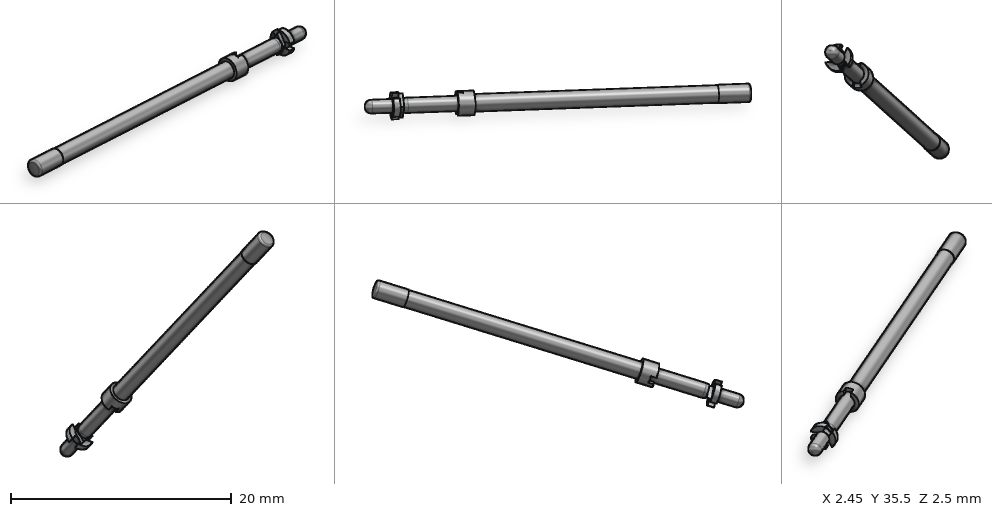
import cadquery as cq
import math

length = 35.5

flange_start = 2.5
flange_end = 3.1
driver_end = 3.5
neck_end = 3.87
collar_start = 8.5
collar_end = 10.0
collar_slot_end = 9.0
body_end = 32.5

tip_radius = 0.65
flange_radius = 1.25
neck_radius = 0.67
barrel_radius = 0.7
collar_radius = 1.15
body_radius = 0.8
tail_radius = 0.85

tip_flat_radius = 0.05
tip_round = tip_radius - tip_flat_radius
tail_round = 0.2

slot_width = 0.7
flange_slot_angles = (0, 120, 240)

driver_face_tilt = 30
driver_half_height = collar_radius
driver_half_width = driver_half_height * math.tan(math.radians(driver_face_tilt))


def section(start, end, radius, end_radius=None):
    """Round section between two distances from the tip, tapered if end_radius is given."""
    if end_radius is None:
        end_radius = radius
    y_start = length - start
    y_end = length - end
    return (
        cq.Workplane("XY")
        .polyline([(0, y_start), (radius, y_start), (end_radius, y_end), (0, y_end)])
        .close()
        .revolve(360, (0, 0), (0, 1))
    )


def across_axis(distance):
    """Workplane across the axis: local x is X, local y is Z, extruding toward the tail."""
    return cq.Workplane("XZ", origin=(0, length - distance, 0))


def make_tip():
    """Thin front pin with a domed end."""
    return section(0, flange_end, tip_radius).faces(">Y").edges().fillet(tip_round)


def make_flange():
    """Thin disc with three flat-bottomed slots, their floors tangent to the tip pin."""
    thickness = flange_end - flange_start
    disc = section(flange_start, flange_end, flange_radius)
    slot = (
        across_axis(flange_start)
        .center(tip_radius + flange_radius / 2, 0)
        .rect(flange_radius, slot_width)
        .extrude(thickness)
    )
    for angle in flange_slot_angles:
        disc = disc.cut(slot.rotate((0, 0, 0), (0, 1, 0), angle))
    return disc


def make_driver():
    """Diamond section standing tall in Z, between flange and neck."""
    corners = [
        (driver_half_width, 0),
        (0, driver_half_height),
        (-driver_half_width, 0),
        (0, -driver_half_height),
    ]
    return across_axis(flange_end).polyline(corners).close().extrude(driver_end - flange_end)


def make_collar():
    """Collar with a slot in its front face above and below the barrel."""
    slot = (
        across_axis(collar_start)
        .rect(slot_width, 2 * collar_radius)
        .extrude(collar_slot_end - collar_start)
    )
    return section(collar_start, collar_end, collar_radius).cut(slot)


def make_tail():
    """Slightly thicker rear end with a rounded edge."""
    return section(body_end, length, tail_radius).faces("<Y").edges().fillet(tail_round)


result = (
    make_tip()
    .union(make_flange())
    .union(make_driver())
    .union(section(driver_end, neck_end, neck_radius, barrel_radius))
    .union(make_collar())
    .union(section(neck_end, collar_end, barrel_radius))
    .union(section(collar_end, body_end, body_radius))
    .union(make_tail())
)